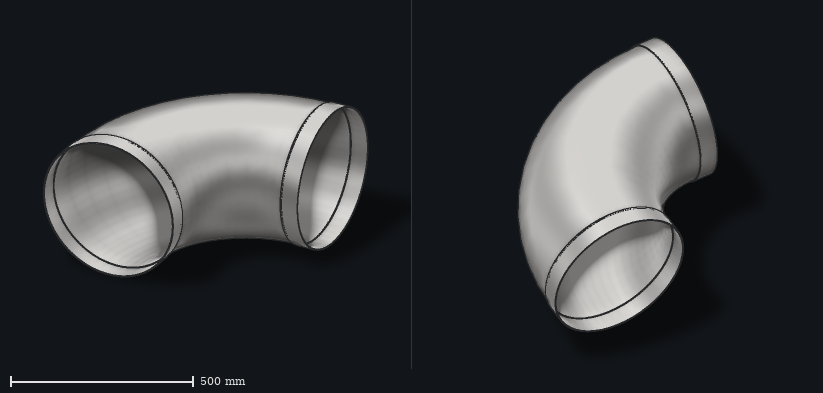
import cadquery as cq

overall = 656.5
pipe_diameter = 400.0
collar_diameter = 406.0
bend_radius = 400.0
bend_angle = 90.0
pipe_bore = 394.0
socket_diameter = 400.0
shoulder_thickness = 3.0

end_to_axis = overall - collar_diameter / 2
collar_length = end_to_axis - bend_radius


def bend(diameter):
    """Solid quarter torus about the Z axis, from the -X side to the +Y side."""
    return (
        cq.Workplane("XZ")
        .center(-bend_radius, 0)
        .circle(diameter / 2)
        .revolve(bend_angle, (bend_radius, 0, 0), (bend_radius, -1, 0))
    )


def end_cylinders(diameter, start=0.0):
    """Cylinders continuing both ends of the bend, from a start distance to the open ends."""
    length = collar_length - start
    profile_y = cq.Workplane("XZ", origin=(-bend_radius, -start, 0)).circle(diameter / 2)
    profile_x = cq.Workplane("YZ", origin=(start, bend_radius, 0)).circle(diameter / 2)
    return profile_y.extrude(length).union(profile_x.extrude(length))


elbow = bend(pipe_diameter).cut(bend(pipe_bore))

collars = end_cylinders(collar_diameter).cut(end_cylinders(pipe_bore))
collars = collars.cut(end_cylinders(socket_diameter, shoulder_thickness))

result = elbow.union(collars)